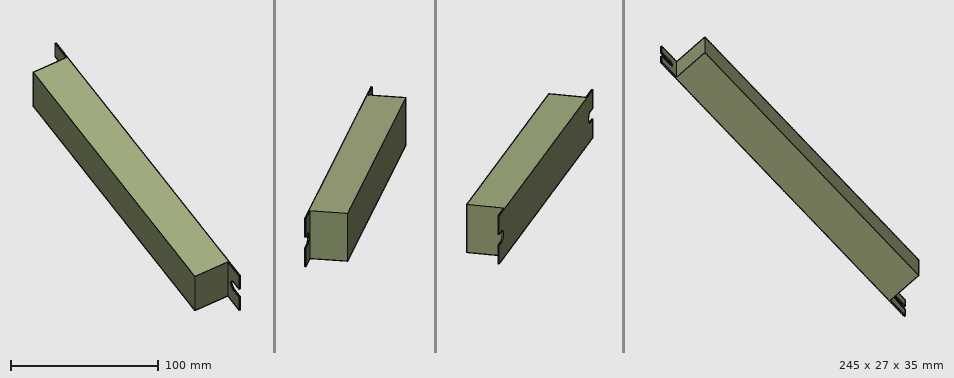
import cadquery as cq

length = 245.0
depth = 27.0
height = 35.0

tab_length = 15.0
tab_thickness = 1.0
slot_width = 8.0
slot_depth = 11.0

body_length = length - 2 * tab_length
back_y = depth / 2


def make_body():
    """Plain rectangular housing, centred on the origin."""
    return cq.Workplane("XY").box(body_length, depth, height)


def make_back_plate():
    """Thin full-length plate whose ends form the mounting tabs."""
    plate = cq.Workplane("XY").box(length, tab_thickness, height)
    return plate.translate((0, back_y - tab_thickness / 2, 0))


def make_slot(side):
    """Round-ended screw slot open at the tab end; side is -1 or +1."""
    return (
        cq.Workplane("XZ")
        .center(side * length / 2, 0)
        .slot2D(2 * slot_depth, slot_width)
        .extrude(depth, both=True)
    )


result = make_body().union(make_back_plate())
for side in (-1, 1):
    result = result.cut(make_slot(side))